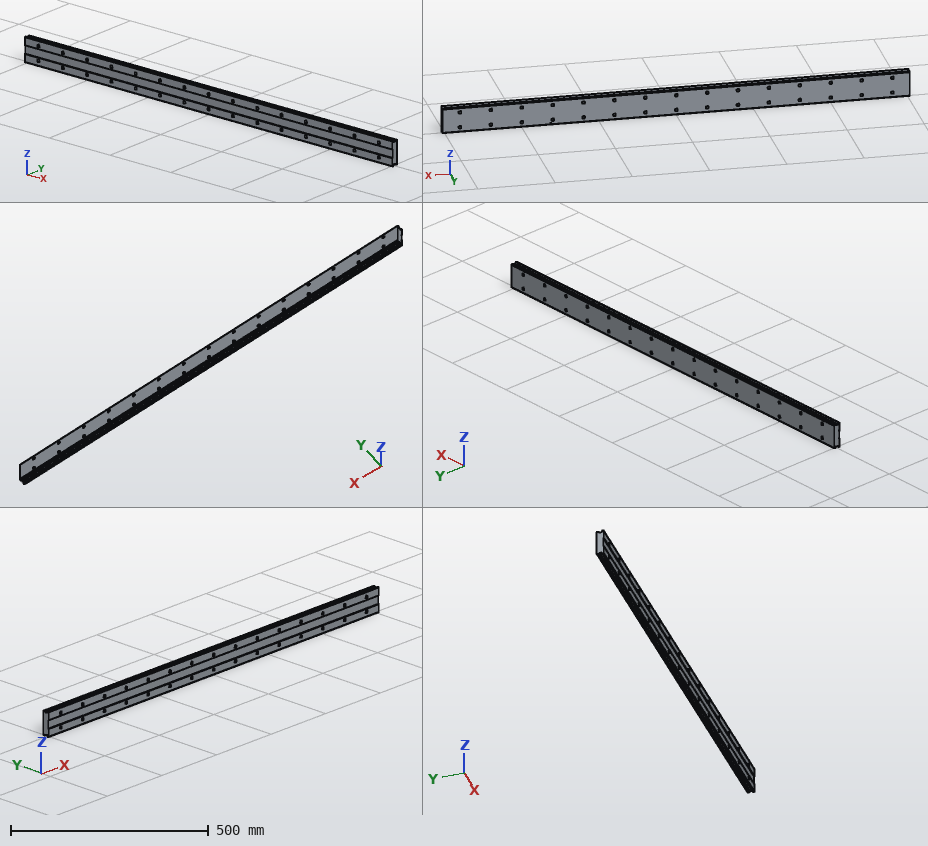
import cadquery as cq
import math

LENGTH = 1210.0
THICKNESS = 19.0
HEIGHT = 69.0

GROOVE_DEPTH = 4.2
GROOVE_FLOOR_WIDTH = 5.2
STEEP_SLOPE = math.tan(math.radians(60))

FRONT_LIP_WIDTH = 4.0
CHAMFER = 1.0

BACK_LIP_DROP = 1.0

CHANNEL_MOUTH_HEIGHT = 24.0
CHANNEL_FLOOR_HEIGHT = 22.0
CHANNEL_DEPTH = 1.0

HOLE_DIAMETER = 7.0
HOLES_PER_ROW = 15
END_MARGIN = 45.0
ROW_SPACING = 40.0
HOLE_PITCH = (LENGTH - 2 * END_MARGIN) / (HOLES_PER_ROW - 1)

FRONT_Y = -THICKNESS / 2
BACK_Y = THICKNESS / 2


def extrude_profile(points):
    """Extrude a closed (y, z) outline over the whole length of the rail."""
    return cq.Workplane("YZ").polyline(points).close().extrude(LENGTH / 2, both=True)


def make_rail():
    top = HEIGHT / 2
    back_top = top - BACK_LIP_DROP
    floor = top - GROOVE_DEPTH

    lip_edge_y = FRONT_Y + FRONT_LIP_WIDTH
    floor_front_y = lip_edge_y + GROOVE_DEPTH / STEEP_SLOPE
    floor_back_y = floor_front_y + GROOVE_FLOOR_WIDTH
    back_lip_start_y = floor_back_y + back_top - floor

    upper = [
        (FRONT_Y, top - CHAMFER),
        (FRONT_Y + CHAMFER, top),
        (lip_edge_y, top),
        (floor_front_y, floor),
        (floor_back_y, floor),
        (back_lip_start_y, back_top),
        (BACK_Y - CHAMFER, back_top),
        (BACK_Y, back_top - CHAMFER * STEEP_SLOPE),
    ]
    lower = [(y, -z) for y, z in reversed(upper)]
    return extrude_profile(upper + lower)


def make_channel():
    floor_y = FRONT_Y + CHANNEL_DEPTH
    return extrude_profile([
        (FRONT_Y, CHANNEL_MOUTH_HEIGHT / 2),
        (floor_y, CHANNEL_FLOOR_HEIGHT / 2),
        (floor_y, -CHANNEL_FLOOR_HEIGHT / 2),
        (FRONT_Y, -CHANNEL_MOUTH_HEIGHT / 2),
    ])


def make_hole_cutters():
    return (
        cq.Workplane("XZ")
        .rarray(HOLE_PITCH, ROW_SPACING, HOLES_PER_ROW, 2)
        .circle(HOLE_DIAMETER / 2)
        .extrude(THICKNESS, both=True)
    )


result = make_rail().cut(make_channel()).cut(make_hole_cutters())